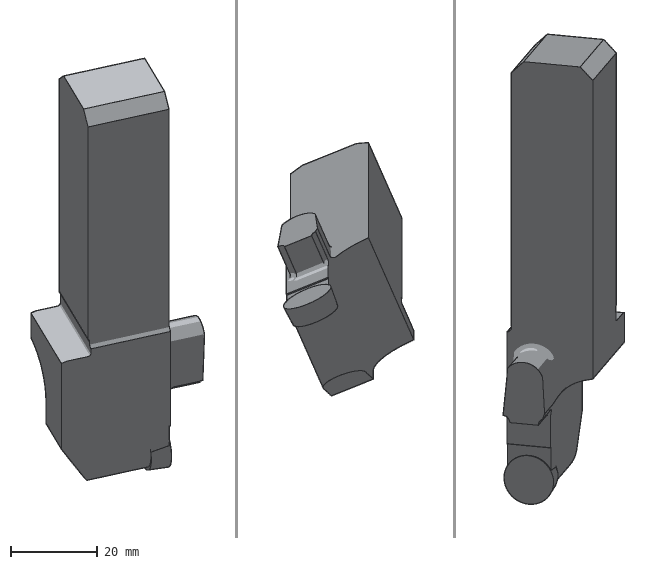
import cadquery as cq
import math

TOTAL_HEIGHT = 109.0
SHANK_WIDTH = 19.7
SHANK_DEPTH = 20.0
TOP_CHAMFER = 3.0

HEAD_DEPTH = 27.0
HEAD_TOP = 39.9
HEAD_EDGE_DEPTH = 1.3
HEAD_EDGE_DROP = 0.3
SIDE_STEP_BOTTOM = 42.0
SIDE_STEP_TOP = 43.7
SIDE_STEP_SAG = 0.3
SLANT_TOP = 14.6
SLANT_ANGLE = 30.0

RELIEF_TOP = 43.9
RELIEF_DEPTH = 0.3
RELIEF_RUNOUT = 0.3
RELIEF_RADIUS = 0.8

INSERT_RADIUS = 6.0
INSERT_BACK_RADIUS = 5.7
INSERT_THICKNESS = 4.9
INSERT_X = 15.5
INSERT_Z = INSERT_RADIUS

NECK_RADIUS = 5.29
NECK_LEFT = INSERT_X - NECK_RADIUS
NECK_RIGHT = INSERT_X + NECK_RADIUS
NECK_CENTER_Z = 6.4
SEAT_TOP = 14.4
SEAT_DEPTH = 0.3

HOLLOW_RADIUS = 10.9
HOLLOW_END_Z = 21.3
HOLLOW_EXIT_ANGLE = 15.0

BOSS_LENGTH = 9.6
BOSS_TIP_DROP = 1.2
BOSS_BOTTOM = 22.8
BOSS_TOP = 38.4
BOSS_LEFT = 9.2
BOSS_RIGHT = 19.3
BOSS_CORNER_RADIUS = 1.6
BOSS_SHOULDER_RADIUS = 0.3
BOSS_TOP_X = 14.1
BOSS_SHOULDER_LEFT = (9.5, 35.0)
BOSS_SHOULDER_RIGHT = (17.9, 36.5)
BOSS_BASE_RADIUS = 1.4


def prism(outline, y_back, y_front):
    """Extrude an outline drawn in the XZ plane from y_back toward -Y to y_front."""
    return outline.extrude(y_back - y_front).translate((0, y_back, 0))


def side_profile():
    """Body seen along X: shank, relief groove, head and slanted underside."""
    groove_y = -(SHANK_DEPTH - RELIEF_DEPTH)
    slant_run = SLANT_TOP * math.tan(math.radians(SLANT_ANGLE))
    return (
        cq.Workplane("YZ")
        .moveTo(0, TOTAL_HEIGHT)
        .lineTo(-SHANK_DEPTH, TOTAL_HEIGHT)
        .lineTo(-SHANK_DEPTH, RELIEF_TOP)
        .lineTo(groove_y, RELIEF_TOP - RELIEF_RUNOUT)
        .lineTo(groove_y, HEAD_TOP + RELIEF_RADIUS)
        .radiusArc((groove_y - RELIEF_RADIUS, HEAD_TOP), RELIEF_RADIUS)
        .lineTo(HEAD_EDGE_DEPTH - HEAD_DEPTH, HEAD_TOP)
        .lineTo(-HEAD_DEPTH, HEAD_TOP - HEAD_EDGE_DROP)
        .lineTo(-HEAD_DEPTH, SLANT_TOP)
        .lineTo(slant_run - HEAD_DEPTH, 0)
        .lineTo(0, 0)
        .close()
        .extrude(NECK_RIGHT)
    )


def front_profile():
    """Body seen along Y, with the round neck end, before the hollow is cut."""
    step_middle = (
        (SHANK_WIDTH + NECK_RIGHT) / 2 - SIDE_STEP_SAG,
        (SIDE_STEP_BOTTOM + SIDE_STEP_TOP) / 2 - SIDE_STEP_SAG,
    )
    outline = (
        cq.Workplane("XZ")
        .moveTo(0, HOLLOW_END_Z)
        .lineTo(0, TOTAL_HEIGHT - TOP_CHAMFER)
        .lineTo(TOP_CHAMFER, TOTAL_HEIGHT)
        .lineTo(SHANK_WIDTH - TOP_CHAMFER, TOTAL_HEIGHT)
        .lineTo(SHANK_WIDTH, TOTAL_HEIGHT - TOP_CHAMFER)
        .lineTo(SHANK_WIDTH, SIDE_STEP_TOP)
        .threePointArc(step_middle, (NECK_RIGHT, SIDE_STEP_BOTTOM))
        .lineTo(NECK_RIGHT, NECK_CENTER_Z)
        .threePointArc((INSERT_X, NECK_CENTER_Z - NECK_RADIUS), (NECK_LEFT, NECK_CENTER_Z))
        .lineTo(NECK_LEFT, HOLLOW_END_Z)
        .close()
    )
    return prism(outline, 0, -HEAD_DEPTH)


def boss():
    """Rounded boss; its base sits on the back face and its tip slopes down."""
    outline = (
        cq.Workplane("XZ")
        .moveTo(BOSS_LEFT, BOSS_BOTTOM + BOSS_CORNER_RADIUS)
        .lineTo(*BOSS_SHOULDER_LEFT)
        .threePointArc((BOSS_TOP_X, BOSS_TOP), BOSS_SHOULDER_RIGHT)
        .lineTo(BOSS_RIGHT, BOSS_BOTTOM + BOSS_CORNER_RADIUS)
        .radiusArc((BOSS_RIGHT - BOSS_CORNER_RADIUS, BOSS_BOTTOM), -BOSS_CORNER_RADIUS)
        .lineTo(BOSS_LEFT + BOSS_CORNER_RADIUS, BOSS_BOTTOM)
        .radiusArc((BOSS_LEFT, BOSS_BOTTOM + BOSS_CORNER_RADIUS), -BOSS_CORNER_RADIUS)
        .close()
    )
    tip_wedge = (
        cq.Workplane("YZ")
        .moveTo(BOSS_LENGTH, BOSS_TOP)
        .lineTo(BOSS_LENGTH - BOSS_TIP_DROP, BOSS_BOTTOM)
        .lineTo(BOSS_LENGTH, BOSS_BOTTOM)
        .close()
        .extrude(NECK_RIGHT)
    )
    shoulders = cq.selectors.BoxSelector(
        (0, 0, BOSS_SHOULDER_LEFT[1] - BOSS_SHOULDER_RADIUS),
        (NECK_RIGHT, BOSS_LENGTH, BOSS_TOP),
    )
    blank = prism(outline, BOSS_LENGTH, 0)
    return blank.edges("|Y").edges(shoulders).fillet(BOSS_SHOULDER_RADIUS).cut(tip_wedge)


def add_boss(body):
    """Join the boss to the back face and fillet around its root."""
    margin = 0.1
    root_edges = cq.selectors.BoxSelector(
        (BOSS_LEFT - margin, -margin, BOSS_BOTTOM - margin),
        (BOSS_RIGHT + margin, margin, BOSS_TOP + margin),
        boundingbox=True,
    )
    return body.union(boss()).edges(root_edges).fillet(BOSS_BASE_RADIUS)


def hollow():
    """Cutter for the concave left side: an arc leaving along a tangent line."""
    center_x = NECK_LEFT - HOLLOW_RADIUS
    exit_angle = math.radians(HOLLOW_EXIT_ANGLE)
    middle_angle = (math.pi / 2 - exit_angle) / 2
    exit_x = center_x + HOLLOW_RADIUS * math.sin(exit_angle)
    exit_z = HOLLOW_END_Z + HOLLOW_RADIUS * math.cos(exit_angle)
    middle = (
        center_x + HOLLOW_RADIUS * math.cos(middle_angle),
        HOLLOW_END_Z + HOLLOW_RADIUS * math.sin(middle_angle),
    )
    outline = (
        cq.Workplane("XZ")
        .moveTo(0, HOLLOW_END_Z)
        .lineTo(NECK_LEFT, HOLLOW_END_Z)
        .threePointArc(middle, (exit_x, exit_z))
        .lineTo(0, exit_z + exit_x * math.tan(exit_angle))
        .close()
    )
    return prism(outline, BOSS_LENGTH, -HEAD_DEPTH)


def seat_relief():
    """Cutter that sets the back of the neck in around the insert."""
    return cq.Workplane("XY").box(
        NECK_RIGHT, SEAT_DEPTH, SEAT_TOP, centered=False
    ).translate((0, -SEAT_DEPTH, 0))


def make_insert():
    """Round cutting insert, tapering from its back face toward -Y."""
    cone = cq.Solid.makeCone(
        INSERT_RADIUS,
        INSERT_BACK_RADIUS,
        INSERT_THICKNESS,
        pnt=cq.Vector(INSERT_X, 0, INSERT_Z),
        dir=cq.Vector(0, -1, 0),
    )
    return cq.Workplane(cone)


def make_holder(insert):
    """Tool holder with a pocket that fits the insert."""
    body = side_profile().intersect(front_profile())
    body = add_boss(body)
    return body.cut(hollow()).cut(seat_relief()).cut(insert)


insert = make_insert()
holder = make_holder(insert)

result = cq.Compound.makeCompound([holder.val(), insert.val()])